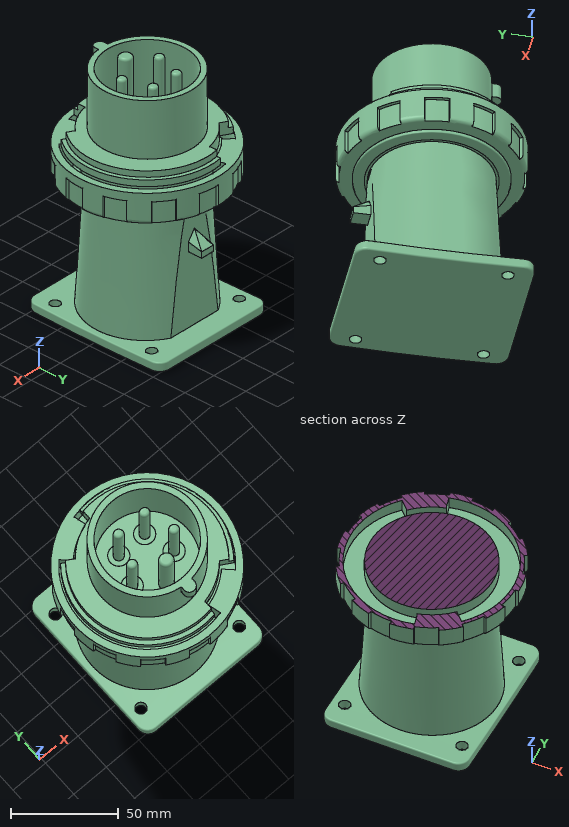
import cadquery as cq
import math

PLATE_X = 74.6
PLATE_Y = 84.9
PLATE_EDGE_TOP = 6.2
PLATE_BOW = 0.8
PLATE_CORNER_RADIUS = 6.0
PLATE_TOP_ROUND = 0.8
PLATE_BOTTOM_ROUND = 1.1
SCREW_OFFSET = 30.2
SCREW_RADIUS = 2.8

SLEEVE_BOTTOM = 2.7
SLEEVE_BOTTOM_RADIUS = 33.9
SLEEVE_TOP_RADIUS = 30.0
SLEEVE_TOP = 74.7
BACK_FLAT_Y = 29.5
BACK_FLAT_TOP = 73.2

CATCH_HALF_WIDTH = 4.0
CATCH_TIP_Y = 37.8
CATCH_BOTTOM = 47.6
CATCH_TIP_TOP = 51.1
CATCH_SIDE_TOP = 53.0
CATCH_PEAK = 58.7

RING_DIAMETER = 89.6
RING_RADIUS = RING_DIAMETER / 2
RING_TOP = 93.8
RING_BOTTOM = 76.5
RING_EDGE_ROUND = 2.3
LIP_RADIUS = 36.9
LIP_ROUND = 0.5
GRIP_COUNT = 12
GRIP_FLOOR_RADIUS = 43.1
GRIP_TOP = 89.1
RECESS_RADIUS = 41.1
RECESS_FLOOR = 81.3
TAB_INNER_RADIUS = 34.5
TAB_ANGLE = 31.0

NECK_RADIUS = 31.3
FLANGE_BOTTOM = 94.6
FLANGE_STEP = 98.3
FLANGE_TOP = 101.8
FLANGE_RADIUS = 40.3
FLANGE_UPPER_RADIUS = 38.0
NOTCH_FLOOR_RADIUS = 33.5
NOTCH_HALF_ANGLE = 18.0
NOTCH_FLARE = 30.0
BAYONET_ANGLES = (120.0, 300.0)

SHROUD_RADIUS = 27.9
SHROUD_BORE_RADIUS = 24.7
SHROUD_TOP = 134.1
SHROUD_FLOOR = FLANGE_STEP
KEY_WIDTH = 6.5
KEY_TIP_Y = -33.0
KEY_BOTTOM = 126.2
PIN_CIRCLE_RADIUS = 13.5
PIN_COUNT = 5
EARTH_PIN_RADIUS = 3.7
EARTH_PIN_TOP = 135.6
EARTH_PIN_ROUND = 1.6
PHASE_PIN_RADIUS = 2.6
PHASE_PIN_TOP = 133.4
PHASE_PIN_ROUND = 1.5
PAD_RADIUS = 5.2
PAD_HEIGHT = 0.1

CUT_MARGIN = 1.4


def cylinder(radius, bottom, top):
    return cq.Workplane("XY").workplane(offset=bottom).circle(radius).extrude(top - bottom)


def polar(radius, degrees):
    angle = math.radians(degrees)
    return (radius * math.cos(angle), radius * math.sin(angle))


def ring_sector(inner, outer, start, sweep, bottom, top):
    """Part of a tube between two radii, from the angle `start` over `sweep` degrees."""
    middle = start + sweep / 2
    end = start + sweep
    return (
        cq.Workplane("XY").workplane(offset=bottom)
        .moveTo(*polar(inner, start))
        .lineTo(*polar(outer, start))
        .threePointArc(polar(outer, middle), polar(outer, end))
        .lineTo(*polar(inner, end))
        .threePointArc(polar(inner, middle), polar(inner, start))
        .close()
        .extrude(top - bottom)
    )


def mounting_plate():
    half_y = PLATE_Y / 2
    plate = (
        cq.Workplane("YZ").workplane(offset=-PLATE_X / 2)
        .moveTo(-half_y, PLATE_BOW)
        .threePointArc((0, 0), (half_y, PLATE_BOW))
        .lineTo(half_y, PLATE_EDGE_TOP)
        .threePointArc((0, PLATE_EDGE_TOP - PLATE_BOW), (-half_y, PLATE_EDGE_TOP))
        .close()
        .extrude(PLATE_X)
    )
    plate = plate.edges("|Z").fillet(PLATE_CORNER_RADIUS)
    plate = plate.faces(">Z").edges().fillet(PLATE_TOP_ROUND)
    plate = plate.faces("<Z").edges().fillet(PLATE_BOTTOM_ROUND)
    return plate


def sleeve():
    cone = (
        cq.Workplane("XZ")
        .moveTo(0, SLEEVE_BOTTOM)
        .lineTo(SLEEVE_BOTTOM_RADIUS, SLEEVE_BOTTOM)
        .lineTo(SLEEVE_TOP_RADIUS, SLEEVE_TOP)
        .lineTo(0, SLEEVE_TOP)
        .close()
        .revolve(360, (0, 0, 0), (0, 1, 0))
    )
    back = cq.Workplane("XY").box(
        2 * SLEEVE_BOTTOM_RADIUS, SLEEVE_BOTTOM_RADIUS, BACK_FLAT_TOP, centered=(True, False, False)
    ).translate((0, BACK_FLAT_Y, 0))
    return cone.cut(back)


def catch():
    """Ramp whose top narrows from the full width at the tip to a point on the sleeve."""

    def corner(side, y, z):
        return cq.Vector(side * CATCH_HALF_WIDTH, y, z)

    peak = cq.Vector(0, BACK_FLAT_Y, CATCH_PEAK)
    bottom_root = [corner(side, BACK_FLAT_Y, CATCH_BOTTOM) for side in (-1, 1)]
    bottom_tip = [corner(side, CATCH_TIP_Y, CATCH_BOTTOM) for side in (-1, 1)]
    top_root = [corner(side, BACK_FLAT_Y, CATCH_SIDE_TOP) for side in (-1, 1)]
    top_tip = [corner(side, CATCH_TIP_Y, CATCH_TIP_TOP) for side in (-1, 1)]
    outlines = [
        [*bottom_root, *reversed(bottom_tip)],
        [*bottom_tip, *reversed(top_tip)],
        [*bottom_root, top_root[1], peak, top_root[0]],
        [*top_tip, peak],
    ]
    for side in (0, 1):
        outlines.append([bottom_root[side], bottom_tip[side], top_tip[side], top_root[side]])
        outlines.append([top_root[side], top_tip[side], peak])
    faces = [cq.Face.makeFromWires(cq.Wire.makePolygon(points, close=True)) for points in outlines]
    return cq.Workplane(cq.Solid.makeSolid(cq.Shell.makeShell(faces)))


def make_housing():
    spots = [(x, y) for x in (-SCREW_OFFSET, SCREW_OFFSET) for y in (-SCREW_OFFSET, SCREW_OFFSET)]
    screw_holes = cq.Workplane("XY").pushPoints(spots).circle(SCREW_RADIUS).extrude(PLATE_EDGE_TOP)
    return mounting_plate().cut(screw_holes).union(sleeve()).union(catch())


def make_coupling_ring():
    ring = cylinder(RING_RADIUS, RING_BOTTOM, RING_TOP).faces("<Z").edges().fillet(RING_EDGE_ROUND)
    lip = cylinder(LIP_RADIUS, SLEEVE_TOP, RING_BOTTOM).faces("<Z").edges().fillet(LIP_ROUND)
    ring = ring.union(lip)

    grip_pitch = 360 / GRIP_COUNT
    for index in range(GRIP_COUNT):
        grip = ring_sector(
            GRIP_FLOOR_RADIUS, RING_RADIUS + CUT_MARGIN,
            (index - 0.5) * grip_pitch, grip_pitch / 2,
            RING_BOTTOM, GRIP_TOP,
        )
        ring = ring.cut(grip)

    recess = cylinder(RECESS_RADIUS, RECESS_FLOOR, RING_TOP)
    for angle in BAYONET_ANGLES:
        recess = recess.cut(ring_sector(
            TAB_INNER_RADIUS, RECESS_RADIUS + CUT_MARGIN, angle - TAB_ANGLE / 2, TAB_ANGLE,
            RECESS_FLOOR, RING_TOP,
        ))
    return ring.cut(recess).cut(cylinder(NECK_RADIUS, SLEEVE_TOP, RING_TOP))


def bayonet_notch(angle):
    """Cutter for one flange notch: a round floor and two sides that flare outwards."""
    reach = 2 * (FLANGE_RADIUS - NOTCH_FLOOR_RADIUS)

    def flared(side):
        x, y = polar(NOTCH_FLOOR_RADIUS, side * NOTCH_HALF_ANGLE)
        dx, dy = polar(reach, side * NOTCH_FLARE)
        return (x + dx, y + dy)

    return (
        cq.Workplane("XY").workplane(offset=FLANGE_BOTTOM)
        .moveTo(*polar(NOTCH_FLOOR_RADIUS, -NOTCH_HALF_ANGLE))
        .threePointArc((NOTCH_FLOOR_RADIUS, 0), polar(NOTCH_FLOOR_RADIUS, NOTCH_HALF_ANGLE))
        .lineTo(*flared(1))
        .lineTo(*flared(-1))
        .close()
        .extrude(FLANGE_TOP - FLANGE_BOTTOM)
        .rotate((0, 0, 0), (0, 0, 1), angle)
    )


def bayonet_flange():
    flange = cylinder(FLANGE_RADIUS, FLANGE_BOTTOM, FLANGE_STEP)
    flange = flange.union(cylinder(FLANGE_UPPER_RADIUS, FLANGE_STEP, FLANGE_TOP))
    for angle in BAYONET_ANGLES:
        flange = flange.cut(bayonet_notch(angle))
    return flange


def keyed_shroud():
    key_radius = KEY_WIDTH / 2
    key_center_y = KEY_TIP_Y + key_radius
    key = (
        cq.Workplane("XY").workplane(offset=KEY_BOTTOM)
        .moveTo(-key_radius, -SHROUD_BORE_RADIUS)
        .lineTo(-key_radius, key_center_y)
        .threePointArc((0, KEY_TIP_Y), (key_radius, key_center_y))
        .lineTo(key_radius, -SHROUD_BORE_RADIUS)
        .close()
        .extrude(SHROUD_TOP - KEY_BOTTOM)
    )
    return cylinder(SHROUD_RADIUS, FLANGE_TOP, SHROUD_TOP).union(key)


def contact_pins():
    """The earth pin at -Y, then the phase pins on low pads, all round the same circle."""
    pins = []
    for index in range(PIN_COUNT):
        x, y = polar(PIN_CIRCLE_RADIUS, -90 + index * 360 / PIN_COUNT)
        if index == 0:
            pin = cylinder(EARTH_PIN_RADIUS, SHROUD_FLOOR, EARTH_PIN_TOP)
            pin = pin.faces(">Z").edges().fillet(EARTH_PIN_ROUND)
        else:
            pin = cylinder(PHASE_PIN_RADIUS, SHROUD_FLOOR, PHASE_PIN_TOP)
            pin = pin.faces(">Z").edges().fillet(PHASE_PIN_ROUND)
            pin = pin.union(cylinder(PAD_RADIUS, SHROUD_FLOOR, SHROUD_FLOOR + PAD_HEIGHT))
        pins.append(pin.translate((x, y, 0)))
    return pins


def make_plug_insert():
    neck = cylinder(NECK_RADIUS, SLEEVE_TOP, FLANGE_BOTTOM)
    bore = cylinder(SHROUD_BORE_RADIUS, SHROUD_FLOOR, SHROUD_TOP)
    insert = neck.union(bayonet_flange()).union(keyed_shroud()).cut(bore)
    for pin in contact_pins():
        insert = insert.union(pin)
    return insert


housing = make_housing()
coupling_ring = make_coupling_ring()
plug_insert = make_plug_insert()

result = cq.Compound.makeCompound([housing.val(), coupling_ring.val(), plug_insert.val()])